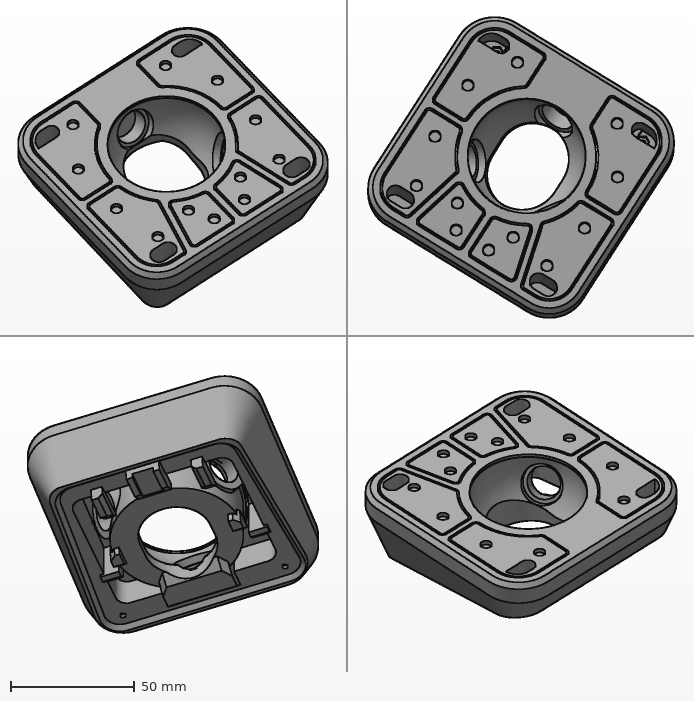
import cadquery as cq
import math

LENGTH_X = 98.0
LENGTH_Y = 100.0
LEFT_CORNER_RADIUS = 17.0
RIGHT_CORNER_RADIUS = 16.0
TOP_CHAMFER = 2.0
STRAIGHT_DEPTH = 9.3
SKIRT_TAPER = 20.0
SKIRT_DEPTH = 30.0
TOP_PLATE = 4.0

BASE_TILT = 10.0
BASE_DEPTH = 27.5
CUT_SPAN = 200.0

CAVITY_X_MIN = -31.4
CAVITY_X_MAX = 29.0
CAVITY_Y = 34.5
CAVITY_CORNER_RADIUS = 5.0
BASE_LIP = 1.6
BASE_RECESS_DEPTH = 2.0
BASE_RECESS_CORNER_RADIUS = 9.0

CUP_X = -4.0
CUP_DEPTH = 3.0
CUP_RADIUS = 24.1
CUP_WALL = 3.0
CUP_RIM_RADIUS = 23.9
CUP_RIM_HEIGHT = 1.5
WINDOW_RADIUS = 15.0
WINDOW_X_MIN = -9.0
WINDOW_X_MAX = -2.0

BEARING_AXES = ((57.0, 17.0), (180.0, 25.0), (300.0, 25.0))
BEARING_SEAT_DIAMETER = 17.5
BEARING_SEAT_DISTANCE = 25.8
BEARING_BORE_DIAMETER = 14.0
BEARING_END_DISTANCE = 33.0
BEARING_BOSS_DIAMETER = 20.5

KEY_X = 44.0
KEY_Y = 45.1
GROOVE_WIDTH = 0.9
KEY_CORNER_RADIUS = 2.2
KEY_RING_RADIUS = 28.2
LEFT_KEY_X_MAX = -2.4
LEFT_KEY_Y_MIN = 15.0
RIGHT_KEY_X_MIN = -0.2
SMALL_KEY_Y_MIN = 1.4
KEY_SPLIT_ANGLE = 14.5
SMALL_KEY_SPLIT_Y = 12.9
LARGE_KEY_SPLIT_Y = 15.5

KEY_HOLE_DIAMETER = 4.7
KEY_HOLE_DEPTH = 2.0
KEY_HOLES = (
    (-35.0, 23.9),
    (-16.2, 35.9),
    (8.9, 35.9),
    (30.3, 31.3),
    (27.6, 13.4),
    (37.4, 7.8),
)

LEFT_POCKET_X_MIN = -40.6
LEFT_POCKET_X_MAX = -34.2
LEFT_POCKET_Y_MIN = 29.9
LEFT_POCKET_Y_MAX = 42.2
LEFT_POCKET_DEPTH = 14.0
LEFT_POCKET_STEP_Y = 32.4
LEFT_POCKET_STEP_HEIGHT = 2.0
SCREW_X = -36.8
SCREW_Y = 35.0
SCREW_HOLE_DIAMETER = 2.3
NUT_ACROSS_CORNERS = 5.2
NUT_DEPTH = 2.5
RIGHT_SLOT_X = 37.8
RIGHT_SLOT_Y = 34.3
RIGHT_SLOT_LENGTH = 11.8
RIGHT_SLOT_WIDTH = 7.1
RIGHT_SLOT_DEEP = 18.0
RIGHT_SLOT_SHALLOW = 10.0

FOOT_HEIGHT = 4.1
FOOT_ROOT = 3.0
FRONT_FOOT_STATIONS = (-38.4, -34.9, -24.5, -20.0)
SIDE_FOOT_STATIONS = (-9.5, -5.7, 0.1, 0.1)
REAR_LEG_STATIONS = (17.5, 21.8, 32.5, 32.5)
FORK_STATIONS = (22.0, 27.5, 37.8, 37.8)
SIDE_FOOT_Y_MIN = 23.5
SIDE_FOOT_Y_MAX = 28.0
REAR_LEG_Y_MIN = 19.2
REAR_LEG_Y_MAX = 24.0
FORK_HALF_WIDTH = 7.1
FORK_GAP_HALF_WIDTH = 4.5
FORK_GAP_TOP = 1.9
FRONT_FOOT_CHAMFER = 3.0
SIDE_FOOT_CHAMFER = 2.5
REAR_LEG_CHAMFER = 2.0
LEFT_BLOCK_HALF_WIDTH = 14.9
LEFT_BLOCK_FRONT_X = -37.8
LEFT_BLOCK_BACK_X = -23.0
RIB_X_MIN = -18.0
RIB_X_MAX = -12.5
RIB_SLOPE_LENGTH = 3.0
RIB_SLOPE_HEIGHT = 4.0
RIB_Y_MIN = 28.0
RIB_Y_MAX = 36.0
RIB_DEPTH = 24.9

TILT = math.radians(BASE_TILT)
BASE_NORMAL = (math.sin(TILT), 0, math.cos(TILT))
ALONG_BASE = (math.cos(TILT), 0, -math.sin(TILT))
BASE_PLANE = cq.Plane(origin=(0, 0, -BASE_DEPTH), xDir=ALONG_BASE, normal=BASE_NORMAL)


def mirrored(shape):
    """The shape together with its mirror image across the XZ plane."""
    return shape.union(shape.mirror("XZ"))


def plan_block(x_min, x_max, half_y, height):
    """A box between z = 0 and the given height, symmetric in Y."""
    return (
        cq.Workplane("XY")
        .center((x_min + x_max) / 2, 0)
        .rect(x_max - x_min, 2 * half_y)
        .extrude(height)
    )


def body_outline(z):
    """Rounded rectangle with larger corners on the -X side."""
    half_x = LENGTH_X / 2
    half_y = LENGTH_Y / 2
    left = -half_x + LEFT_CORNER_RADIUS
    right = half_x - RIGHT_CORNER_RADIUS
    left_y = half_y - LEFT_CORNER_RADIUS
    right_y = half_y - RIGHT_CORNER_RADIUS
    return (
        cq.Workplane("XY", origin=(0, 0, z))
        .moveTo(left, -half_y)
        .lineTo(right, -half_y)
        .radiusArc((half_x, -right_y), -RIGHT_CORNER_RADIUS)
        .lineTo(half_x, right_y)
        .radiusArc((right, half_y), -RIGHT_CORNER_RADIUS)
        .lineTo(left, half_y)
        .radiusArc((-half_x, left_y), -LEFT_CORNER_RADIUS)
        .lineTo(-half_x, -left_y)
        .radiusArc((left, -half_y), -LEFT_CORNER_RADIUS)
        .close()
    )


def below_base():
    """Everything under the base plane."""
    return cq.Workplane(BASE_PLANE).rect(CUT_SPAN, CUT_SPAN).extrude(-CUT_SPAN)


def make_envelope():
    """Chamfered upper band on a tapered skirt that runs below the base plane."""
    band = body_outline(-STRAIGHT_DEPTH).extrude(STRAIGHT_DEPTH)
    band = band.faces(">Z").chamfer(TOP_CHAMFER)
    skirt = body_outline(-STRAIGHT_DEPTH).extrude(-SKIRT_DEPTH, taper=SKIRT_TAPER)
    return band.union(skirt)


def make_cavity():
    """Round-cornered open space under the top plate."""
    cavity = plan_block(CAVITY_X_MIN, CAVITY_X_MAX, CAVITY_Y, -CUT_SPAN)
    cavity = cavity.edges("|Z").fillet(CAVITY_CORNER_RADIUS)
    return cavity.translate((0, 0, -TOP_PLATE))


def make_base_recess():
    """Bevelled recess in the base plane, set in from the skirt by the lip width."""
    skirt_slope = math.tan(math.radians(SKIRT_TAPER))
    base_slope = math.tan(TILT)
    inset_at_origin = (BASE_DEPTH - STRAIGHT_DEPTH) * skirt_slope
    base_x = LENGTH_X / 2 - inset_at_origin
    base_y = LENGTH_Y / 2 - inset_at_origin
    x_max = base_x / (1 + base_slope * skirt_slope)
    x_min = -base_x / (1 - base_slope * skirt_slope)
    front_y = base_y - x_min * base_slope * skirt_slope - BASE_LIP
    rear_y = base_y - x_max * base_slope * skirt_slope - BASE_LIP
    front = x_min / math.cos(TILT) + BASE_LIP
    rear = x_max / math.cos(TILT) - BASE_LIP
    outline = [(front, -front_y), (rear, -rear_y), (rear, rear_y), (front, front_y)]
    recess = (
        cq.Workplane(BASE_PLANE)
        .workplane(offset=BASE_RECESS_DEPTH)
        .polyline(outline)
        .close()
        .extrude(-2 * BASE_RECESS_DEPTH)
    )
    upright = cq.selectors.ParallelDirSelector(cq.Vector(*BASE_NORMAL))
    recess = recess.edges(upright).fillet(BASE_RECESS_CORNER_RADIUS)
    upper_face = cq.selectors.DirectionMinMaxSelector(cq.Vector(*BASE_NORMAL))
    return recess.faces(upper_face).chamfer(BASE_RECESS_DEPTH)


def bearing_cylinder(turn_angle, drop_angle, diameter, start, end):
    """Cylinder on a bearing axis between two distances from the ball centre."""
    drop = math.radians(drop_angle)
    turn = math.radians(turn_angle)
    axis = cq.Vector(
        math.cos(drop) * math.cos(turn),
        math.cos(drop) * math.sin(turn),
        -math.sin(drop),
    )
    origin = cq.Vector(CUP_X, 0, -CUP_DEPTH) + axis * start
    return cq.Workplane(cq.Solid.makeCylinder(diameter / 2, end - start, origin, axis))


def make_cup():
    """Outer form of the ball cup with its bearing bosses and front block."""
    cup = cq.Workplane("XY").center(CUP_X, 0).circle(CUP_RADIUS + CUP_WALL).extrude(-CUT_SPAN)
    for turn, drop in BEARING_AXES:
        boss = bearing_cylinder(
            turn, drop, BEARING_BOSS_DIAMETER, CUP_RADIUS / 2, BEARING_END_DISTANCE
        )
        cup = cup.union(boss)
    block = plan_block(LEFT_BLOCK_FRONT_X, LEFT_BLOCK_BACK_X, LEFT_BLOCK_HALF_WIDTH, -CUT_SPAN)
    cup = cup.union(block).cut(below_base())
    return cup.intersect(cq.Workplane("XY").rect(CUT_SPAN, CUT_SPAN).extrude(-CUT_SPAN))


def make_cup_hollow():
    """Ball space, slotted window through the base and the three bearing bores."""
    hollow = cq.Workplane("XY").sphere(CUP_RADIUS).translate((CUP_X, 0, -CUP_DEPTH))
    window_length = WINDOW_X_MAX - WINDOW_X_MIN + 2 * WINDOW_RADIUS
    window = (
        cq.Workplane(BASE_PLANE)
        .workplane(offset=-FOOT_HEIGHT)
        .center((WINDOW_X_MIN + WINDOW_X_MAX) / 2, 0)
        .slot2D(window_length, 2 * WINDOW_RADIUS)
        .extrude(FOOT_HEIGHT + BASE_DEPTH / 2)
    )
    hollow = hollow.union(window)
    for turn, drop in BEARING_AXES:
        seat = bearing_cylinder(
            turn, drop, BEARING_SEAT_DIAMETER, CUP_RADIUS / 2, BEARING_SEAT_DISTANCE
        )
        bore = bearing_cylinder(
            turn, drop, BEARING_BORE_DIAMETER, CUP_RADIUS / 2, BEARING_END_DISTANCE
        )
        hollow = hollow.union(seat).union(bore)
    above_rim = cq.Workplane("XY", origin=(0, 0, -CUP_RIM_HEIGHT)).rect(CUT_SPAN, CUT_SPAN)
    hollow = hollow.cut(above_rim.extrude(CUT_SPAN))
    rim = cq.Workplane("XY").center(CUP_X, 0).circle(CUP_RIM_RADIUS).extrude(-CUP_DEPTH)
    return hollow.union(rim)


def foot(profile, y_min, y_max):
    """Prism across Y from (distance along base, height above base) points."""
    side = cq.Plane(origin=(0, y_min, -BASE_DEPTH), xDir=ALONG_BASE, normal=(0, -1, 0))
    return cq.Workplane(side).polyline(profile).close().extrude(y_min - y_max)


def foot_profile(heel, heel_bottom, toe_bottom, toe):
    """Foot with straight ends; heel and toe are given where they cross the base plane."""
    heel_slope = (heel_bottom - heel) / FOOT_HEIGHT
    toe_slope = (toe - toe_bottom) / FOOT_HEIGHT
    return [
        (heel - heel_slope * FOOT_ROOT, FOOT_ROOT),
        (heel_bottom, -FOOT_HEIGHT),
        (toe_bottom, -FOOT_HEIGHT),
        (toe + toe_slope * FOOT_ROOT, FOOT_ROOT),
    ]


def make_feet():
    """Front foot, two side feet, two rear legs and the forked rear foot."""
    front_profile = foot_profile(*FRONT_FOOT_STATIONS)
    feet = foot(front_profile, -LEFT_BLOCK_HALF_WIDTH, LEFT_BLOCK_HALF_WIDTH)
    for side in ("<Y", ">Y"):
        feet = feet.faces(side).edges(">X").chamfer(FRONT_FOOT_CHAMFER)
    side_foot = foot(foot_profile(*SIDE_FOOT_STATIONS), SIDE_FOOT_Y_MIN, SIDE_FOOT_Y_MAX)
    side_foot = side_foot.faces(">Y").edges(">X").chamfer(SIDE_FOOT_CHAMFER)
    rear_leg = foot(foot_profile(*REAR_LEG_STATIONS), REAR_LEG_Y_MIN, REAR_LEG_Y_MAX)
    rear_leg = rear_leg.faces("<Y").edges("<Z").chamfer(REAR_LEG_CHAMFER)
    feet = feet.union(mirrored(side_foot)).union(mirrored(rear_leg))

    fork = foot(foot_profile(*FORK_STATIONS), -FORK_HALF_WIDTH, FORK_HALF_WIDTH)
    fork_gap = (
        cq.Workplane(BASE_PLANE)
        .workplane(offset=-FORK_GAP_TOP)
        .rect(CUT_SPAN, 2 * FORK_GAP_HALF_WIDTH)
        .extrude(-FOOT_HEIGHT)
    )
    return feet.union(fork.cut(fork_gap))


def make_ribs():
    """Short cross ribs hanging from the left keys to the cavity walls."""
    slope_top = RIB_DEPTH - RIB_SLOPE_HEIGHT
    rib = (
        cq.Workplane("XZ", origin=(0, RIB_Y_MIN, 0))
        .moveTo(RIB_X_MIN, -TOP_PLATE / 2)
        .lineTo(RIB_X_MIN, -slope_top)
        .lineTo(RIB_X_MIN + RIB_SLOPE_LENGTH, -RIB_DEPTH)
        .lineTo(RIB_X_MAX, -RIB_DEPTH)
        .lineTo(RIB_X_MAX, -TOP_PLATE / 2)
        .close()
        .extrude(RIB_Y_MIN - RIB_Y_MAX)
    )
    return mirrored(rib)


def ring_point_at_x(x):
    """Point of the key ring at the given x, on its +Y half."""
    return (x, math.sqrt(KEY_RING_RADIUS**2 - (x - CUP_X) ** 2))


def ring_point_at_y(y):
    """Point of the key ring at the given y, on its -X half."""
    return (CUP_X - math.sqrt(KEY_RING_RADIUS**2 - y**2), y)


def split_y(x, height):
    """Y of a sloping key edge at the given x; height is its y at x = 0."""
    return height + x * math.tan(math.radians(KEY_SPLIT_ANGLE))


def ring_point_on_split(height):
    """Point on the +X side where a sloping key edge meets the key ring."""
    slope = math.tan(math.radians(KEY_SPLIT_ANGLE))
    a = 1 + slope**2
    b = slope * height - CUP_X
    c = CUP_X**2 + height**2 - KEY_RING_RADIUS**2
    x = (-b + math.sqrt(b**2 - a * c)) / a
    return (x, split_y(x, height))


def key_groove(outline, body_corner=None, body_corner_radius=0.0):
    """Groove just inside an outline with softened corners; one may follow the body corner."""
    pad = outline.close().extrude(-TOP_PLATE)
    sharp = pad.edges("|Z")
    if body_corner:
        nearest = cq.selectors.NearestToPointSelector((*body_corner, -TOP_PLATE / 2))
        small_corners = sharp.edges(cq.selectors.SubtractSelector(cq.selectors.Selector(), nearest))
        pad = small_corners.fillet(KEY_CORNER_RADIUS)
        pad = pad.edges("|Z").edges(nearest).fillet(body_corner_radius)
    else:
        pad = sharp.fillet(KEY_CORNER_RADIUS)
    key_wire = pad.faces(">Z").val().outerWire().offset2D(-GROOVE_WIDTH)[0]
    key = cq.Solid.extrudeLinear(cq.Face.makeFromWires(key_wire), cq.Vector(0, 0, -TOP_PLATE))
    return pad.cut(cq.Workplane(key))


def make_key_grooves():
    """Grooves around the three keys on the +Y side and their mirror images."""
    edge_inset = LENGTH_X / 2 - KEY_X

    left = (
        cq.Workplane("XY")
        .moveTo(*ring_point_at_y(LEFT_KEY_Y_MIN))
        .radiusArc(ring_point_at_x(LEFT_KEY_X_MAX), KEY_RING_RADIUS)
        .lineTo(LEFT_KEY_X_MAX, KEY_Y)
        .lineTo(-KEY_X, KEY_Y)
        .lineTo(-KEY_X, LEFT_KEY_Y_MIN)
    )
    large = (
        cq.Workplane("XY")
        .moveTo(*ring_point_at_x(RIGHT_KEY_X_MIN))
        .radiusArc(ring_point_on_split(LARGE_KEY_SPLIT_Y), KEY_RING_RADIUS)
        .lineTo(KEY_X, split_y(KEY_X, LARGE_KEY_SPLIT_Y))
        .lineTo(KEY_X, KEY_Y)
        .lineTo(RIGHT_KEY_X_MIN, KEY_Y)
    )
    small_ring_x = CUP_X + math.sqrt(KEY_RING_RADIUS**2 - SMALL_KEY_Y_MIN**2)
    small = (
        cq.Workplane("XY")
        .moveTo(*ring_point_on_split(SMALL_KEY_SPLIT_Y))
        .radiusArc((small_ring_x, SMALL_KEY_Y_MIN), KEY_RING_RADIUS)
        .lineTo(KEY_X, SMALL_KEY_Y_MIN)
        .lineTo(KEY_X, split_y(KEY_X, SMALL_KEY_SPLIT_Y))
    )
    grooves = key_groove(left, (-KEY_X, KEY_Y), LEFT_CORNER_RADIUS - edge_inset)
    grooves = grooves.union(key_groove(large, (KEY_X, KEY_Y), RIGHT_CORNER_RADIUS - edge_inset))
    return mirrored(grooves.union(key_groove(small)))


def make_key_holes():
    """Shallow round holes, two in each key."""
    holes = cq.Workplane("XY").pushPoints(KEY_HOLES).circle(KEY_HOLE_DIAMETER / 2)
    return mirrored(holes.extrude(-KEY_HOLE_DEPTH))


def make_left_pockets():
    """D-shaped pockets with a stepped floor, a nut recess and a screw hole through the base."""
    width = LEFT_POCKET_X_MAX - LEFT_POCKET_X_MIN
    round_end_y = LEFT_POCKET_Y_MIN + width / 2
    pocket = (
        cq.Workplane("XY")
        .moveTo(LEFT_POCKET_X_MAX, LEFT_POCKET_Y_MAX)
        .radiusArc((LEFT_POCKET_X_MIN, LEFT_POCKET_Y_MAX - width), -width)
        .lineTo(LEFT_POCKET_X_MIN, round_end_y)
        .threePointArc(
            (LEFT_POCKET_X_MIN + width / 2, LEFT_POCKET_Y_MIN), (LEFT_POCKET_X_MAX, round_end_y)
        )
        .close()
        .extrude(-LEFT_POCKET_DEPTH)
    )
    step = cq.Workplane("XY").box(
        width,
        LEFT_POCKET_STEP_Y - LEFT_POCKET_Y_MIN,
        LEFT_POCKET_STEP_HEIGHT,
        centered=False,
    )
    pocket = pocket.cut(step.translate((LEFT_POCKET_X_MIN, LEFT_POCKET_Y_MIN, -LEFT_POCKET_DEPTH)))
    floor = cq.Workplane("XY", origin=(SCREW_X, SCREW_Y, -LEFT_POCKET_DEPTH))
    nut = floor.polygon(6, NUT_ACROSS_CORNERS).extrude(-NUT_DEPTH)
    screw = floor.circle(SCREW_HOLE_DIAMETER / 2).extrude(-CUT_SPAN)
    return mirrored(pocket.union(nut).union(screw))


def make_right_slots():
    """Round-ended slots with a steep floor rising toward +X."""
    slot = (
        cq.Workplane("XY")
        .center(RIGHT_SLOT_X, RIGHT_SLOT_Y)
        .slot2D(RIGHT_SLOT_LENGTH, RIGHT_SLOT_WIDTH, 90)
        .extrude(-RIGHT_SLOT_DEEP)
    )
    x_min = RIGHT_SLOT_X - RIGHT_SLOT_WIDTH / 2
    x_max = RIGHT_SLOT_X + RIGHT_SLOT_WIDTH / 2
    above_floor = (
        cq.Workplane("XZ")
        .polyline([(x_min, 0), (x_max, 0), (x_max, -RIGHT_SLOT_SHALLOW), (x_min, -RIGHT_SLOT_DEEP)])
        .close()
        .extrude(CUT_SPAN, both=True)
    )
    return mirrored(slot.intersect(above_floor))


shell = make_envelope().cut(below_base())
shell = shell.cut(make_base_recess()).cut(make_cavity())
result = shell.union(make_cup()).union(make_feet()).union(make_ribs())
result = result.cut(make_cup_hollow())
result = result.cut(make_key_grooves()).cut(make_key_holes())
result = result.cut(make_left_pockets()).cut(make_right_slots())